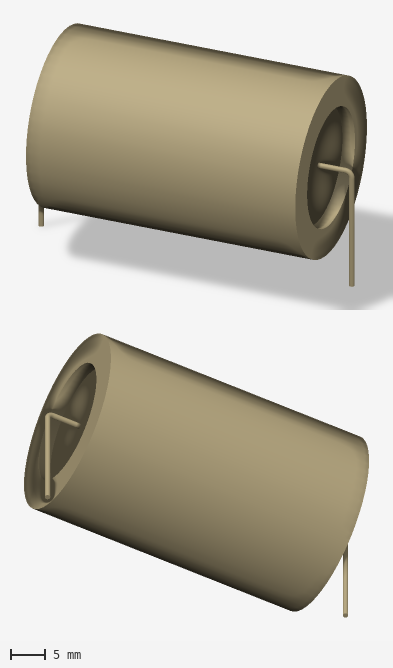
import cadquery as cq

overall_length = 49.1
sleeve_length = 41.9
sleeve_diameter = 27.0
core_diameter = 18.0
recess_depth = 1.95
lead_diameter = 0.8
bend_radius = 1.0
lead_drop = 18.5

core_length = sleeve_length - 2 * recess_depth
core_face_x = core_length / 2
lead_x = (overall_length - lead_diameter) / 2


def cylinder_along_x(diameter, length):
    """Cylinder on the X axis, centred on the origin."""
    return cq.Workplane("YZ", origin=(-length / 2, 0, 0)).circle(diameter / 2).extrude(length)


def make_sleeve():
    """Outer tube, open at both ends."""
    bore = cylinder_along_x(core_diameter, sleeve_length)
    return cylinder_along_x(sleeve_diameter, sleeve_length).cut(bore)


def make_core():
    """Solid core filling the bore, set back from both sleeve ends."""
    return cylinder_along_x(core_diameter, core_length)


def make_lead(side):
    """Round wire from one core face (side -1 or +1), bent down toward -Z."""
    path = (
        cq.Workplane("XZ")
        .moveTo(side * core_face_x, 0)
        .lineTo(side * (lead_x - bend_radius), 0)
        .tangentArcPoint((side * lead_x, -bend_radius), relative=False)
        .lineTo(side * lead_x, -lead_drop)
    )
    wire_section = cq.Workplane("YZ", origin=(side * core_face_x, 0, 0)).circle(lead_diameter / 2)
    return wire_section.sweep(path)


sleeve = make_sleeve()
core = make_core()
leads = [make_lead(side) for side in (-1, 1)]

result = cq.Compound.makeCompound([sleeve.val(), core.val(), *[lead.val() for lead in leads]])